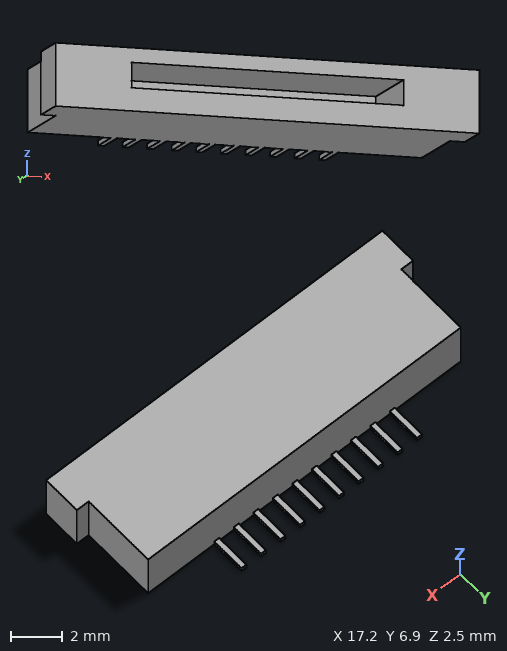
import cadquery as cq

flange_width = 17.2
flange_depth = 1.8
body_width = 16.0
housing_depth = 5.3
height = 2.5

slot_width = 11.05
slot_height = 1.0
slot_floor = 0.91
slot_depth = 3.44

overall_depth = 6.9
tail_count = 10
tail_pitch = 1.0
tail_width = 0.25
tail_thickness = 0.2
tail_length = overall_depth - housing_depth


def centered_block(width, depth, block_height, x=0.0, y=0.0, z=0.0):
    """Box centred on x, with its front face at y and its underside at z."""
    block = cq.Workplane("XY").box(width, depth, block_height, centered=(True, False, False))
    return block.translate((x, y, z))


flange = centered_block(flange_width, flange_depth, height)
body = centered_block(body_width, housing_depth, height)
slot = centered_block(slot_width, slot_depth, slot_height, z=slot_floor)
result = flange.union(body).cut(slot)

first_tail_x = -tail_pitch * (tail_count - 1) / 2
for index in range(tail_count):
    tail_x = first_tail_x + index * tail_pitch
    tail = centered_block(tail_width, tail_length, tail_thickness, x=tail_x, y=housing_depth)
    result = result.union(tail)